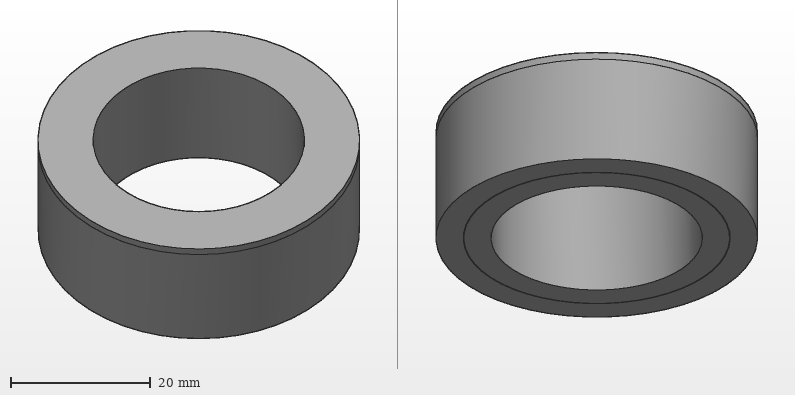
import cadquery as cq

outer_diameter = 46.0
bore_diameter = 30.2
total_height = 17.5

flange_thickness = 1.1
sleeve_diameter = 38.0
ring_bore_diameter = 38.2
ring_height = total_height - flange_thickness


def make_tube(outer, inner, height, base_z=0):
    """Upright tube standing on base_z, given its outer and inner diameters."""
    return (
        cq.Workplane("XY")
        .workplane(offset=base_z)
        .circle(outer / 2)
        .circle(inner / 2)
        .extrude(height)
    )


def make_outer_ring():
    """Plain ring that sits under the flange with a small clearance around the sleeve."""
    return make_tube(outer_diameter, ring_bore_diameter, ring_height)


def make_flanged_sleeve():
    """Full-height sleeve that lines the bore, with a flange covering the outer ring."""
    sleeve = make_tube(sleeve_diameter, bore_diameter, total_height)
    flange = make_tube(outer_diameter, bore_diameter, flange_thickness, base_z=ring_height)
    return sleeve.union(flange)


outer_ring = make_outer_ring()
flanged_sleeve = make_flanged_sleeve()

result = cq.Compound.makeCompound([outer_ring.val(), flanged_sleeve.val()])